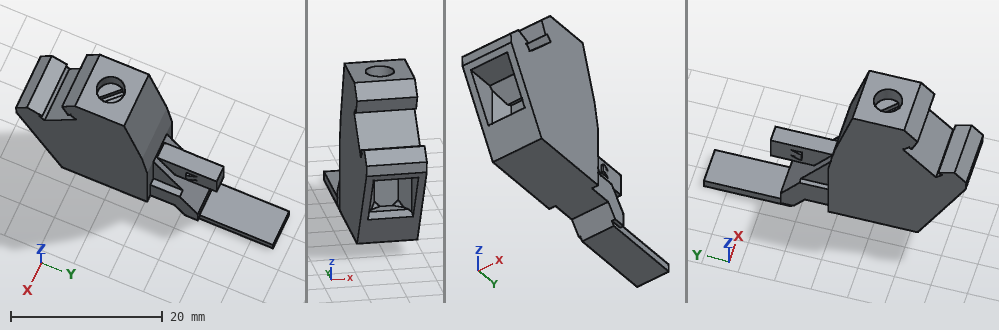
import cadquery as cq


body_width = 8.1
body_height = 22.1
back_edge_z = 9.55
back_bend_y = -0.74
back_bend_z = 13.55
top_back_y = -3.33
top_front_y = -10.4
bottom_front_y = -12.25
nose_y = -18.9
nose_top_z = 13.58
nose_bottom_y = -18.82
nose_bottom_z = 12.1

notch_top_y = -10.27
notch_top_z = 17.75
notch_drop = 4.5
notch_wall = 0.8
upper_hook_y = -11.4
upper_hook_z = 18.2
upper_nose_y = -12.25
upper_nose_z = 20.2
lower_hook_y = -15.1
lower_hook_z = 14.4
lower_nose_y = -17.3
lower_nose_z = 15.2

screw_diameter = 3.75
screw_y = -7.03
screw_depth = 2.2
slot_width = 0.8
slot_depth = 0.8
slot_angle = -45

entry_half_width = 3.02
entry_bottom_z = 4.24
entry_top_z = 11.23
entry_floor_z = 4.78
entry_floor_y = -13.2
entry_taper_y = -13.75
entry_end_y = -11.5
entry_end_half_width = 1.59
entry_ceiling_z = 8.91
entry_slope_end_y = -11.9
entry_clear_y = nose_y - 1
corner_size = 0.74
corner_reach = 0.94

bracket_width = 6.05
bracket_end_y = 6.83
bracket_tip_z = 0.1
bracket_bottom_z = -1.97
bracket_top_z = 9.04
bracket_step_z = 3.5
underside_bend_y = 3.5
underside_run = 1.97
plate_bottom_z = -2.55
underside_slope = underside_run / -plate_bottom_z
web_x_min = -2.33
web_x_max = 2.02

plate_x_min = -2.8
plate_x_max = 2.46
plate_thickness = 1.2
plate_end_y = 17.4

pin_width = 2.35
pin_end_y = 8.73
pin_bottom_z = 5.45
pin_top_z = 8.83
barb_tip_y = 5.88
barb_crest_y = 4.73
barb_root_y = 4.4
barb_height = 0.35
barb_bottom_z = 6.53
barb_top_z = 7.76


def extrude_x(points, x_min, x_max):
    """Prism with a (y, z) outline spanning x_min to x_max."""
    return cq.Workplane("YZ", origin=(x_min, 0, 0)).polyline(points).close().extrude(x_max - x_min)


def extrude_z(points, z_min, z_max):
    """Prism with an (x, y) outline spanning z_min to z_max."""
    return cq.Workplane("XY", origin=(0, 0, z_min)).polyline(points).close().extrude(z_max - z_min)


def tetrahedron(corners):
    """Solid with four triangular faces joining the four corners."""
    vectors = [cq.Vector(*corner) for corner in corners]
    faces = []
    for skipped in range(len(vectors)):
        triangle = [v for i, v in enumerate(vectors) if i != skipped]
        faces.append(cq.Face.makeFromWires(cq.Wire.makePolygon(triangle, close=True)))
    return cq.Workplane(obj=cq.Solid.makeSolid(cq.Shell.makeShell(faces)))


def housing():
    """Housing block with the slanted rail notch."""
    notch_bottom_y = notch_top_y - notch_drop
    notch_bottom_z = notch_top_z - notch_drop
    outline = [
        (0, 0),
        (bottom_front_y, 0),
        (nose_bottom_y, nose_bottom_z),
        (nose_y, nose_top_z),
        (lower_nose_y, lower_nose_z),
        (lower_hook_y, lower_hook_z),
        (notch_bottom_y - notch_wall, notch_bottom_z + notch_wall),
        (notch_bottom_y, notch_bottom_z),
        (notch_top_y, notch_top_z),
        (notch_top_y - notch_wall, notch_top_z + notch_wall),
        (upper_hook_y, upper_hook_z),
        (upper_nose_y, upper_nose_z),
        (top_front_y, body_height),
        (top_back_y, body_height),
        (back_bend_y, back_bend_z),
        (0, back_edge_z),
    ]
    return extrude_x(outline, -body_width / 2, body_width / 2)


def screw_recess():
    """Cut for the screw access bore and the slot in the screw head."""
    floor_z = body_height - screw_depth
    plane = cq.Workplane("XY", origin=(0, screw_y, floor_z))
    bore = plane.circle(screw_diameter / 2).extrude(screw_depth)
    head = plane.circle(screw_diameter / 2).extrude(-slot_depth)
    slot = plane.transformed(rotate=(0, 0, slot_angle)).rect(screw_diameter, slot_width).extrude(-slot_depth)
    return bore.union(head.intersect(slot))


def wire_entry():
    """Cut for the wire funnel, with its two lower rear corners filled in."""
    mouth_slope = (nose_bottom_y - bottom_front_y) / nose_bottom_z
    mouth_bottom_y = bottom_front_y + mouth_slope * entry_bottom_z
    slope_start_y = entry_slope_end_y - (entry_top_z - entry_ceiling_z)
    side = [
        (entry_clear_y, entry_bottom_z),
        (mouth_bottom_y, entry_bottom_z),
        (entry_floor_y, entry_floor_z),
        (entry_end_y, entry_floor_z),
        (entry_end_y, entry_ceiling_z),
        (entry_slope_end_y, entry_ceiling_z),
        (slope_start_y, entry_top_z),
        (entry_clear_y, entry_top_z),
    ]
    plan = [
        (-entry_half_width, entry_clear_y),
        (entry_half_width, entry_clear_y),
        (entry_half_width, entry_taper_y),
        (entry_end_half_width, entry_end_y),
        (-entry_end_half_width, entry_end_y),
        (-entry_half_width, entry_taper_y),
    ]
    profile = extrude_x(side, -entry_half_width, entry_half_width)
    funnel = profile.intersect(extrude_z(plan, entry_bottom_z, entry_top_z))

    taper = (entry_half_width - entry_end_half_width) / (entry_end_y - entry_taper_y)
    for sign in (-1, 1):
        corner_x = sign * entry_end_half_width
        filling = tetrahedron([
            (corner_x, entry_end_y, entry_floor_z),
            (corner_x, entry_end_y, entry_floor_z + corner_size),
            (corner_x - sign * corner_size, entry_end_y, entry_floor_z),
            (corner_x + sign * taper * corner_reach, entry_end_y - corner_reach, entry_floor_z),
        ])
        funnel = funnel.cut(filling)
    return funnel


def underside_y(z):
    """Y of the bracket's sloping underside at height z."""
    return underside_bend_y - underside_slope * z


def bracket():
    """Full-width base with a sloping end and the narrower web on top of it."""
    slope = (bracket_top_z - bracket_tip_z) / bracket_end_y
    step_y = (bracket_top_z - bracket_step_z) / slope
    base_outline = [
        (0, 0),
        (0, bracket_step_z),
        (step_y, bracket_step_z),
        (bracket_end_y, bracket_tip_z),
        (bracket_end_y, bracket_bottom_z),
        (underside_y(bracket_bottom_z), bracket_bottom_z),
        (underside_bend_y, 0),
    ]
    web_outline = [(0, bracket_step_z), (0, bracket_top_z), (step_y, bracket_step_z)]
    base = extrude_x(base_outline, -bracket_width / 2, bracket_width / 2)
    return base.union(extrude_x(web_outline, web_x_min, web_x_max))


def contact_plate():
    """Flat plate starting at the bracket's sloping underside."""
    top_z = plate_bottom_z + plate_thickness
    outline = [
        (underside_y(plate_bottom_z), plate_bottom_z),
        (plate_end_y, plate_bottom_z),
        (plate_end_y, top_z),
        (underside_y(top_z), top_z),
    ]
    return extrude_x(outline, plate_x_min, plate_x_max)


def latch_pin():
    """Rectangular pin with a ramped barb on each side."""
    half = pin_width / 2
    outline = [
        (0, pin_bottom_z),
        (pin_end_y, pin_bottom_z),
        (pin_end_y, pin_top_z),
        (0, pin_top_z),
    ]
    pin = extrude_x(outline, -half, half)
    for sign in (-1, 1):
        barb = [
            (0, barb_tip_y),
            (sign * half, barb_tip_y),
            (sign * (half + barb_height), barb_crest_y),
            (sign * (half + barb_height), barb_root_y),
            (0, barb_root_y),
        ]
        pin = pin.union(extrude_z(barb, barb_bottom_z, barb_top_z))
    return pin


result = housing().cut(screw_recess()).cut(wire_entry())
result = result.union(bracket()).union(contact_plate()).union(latch_pin())